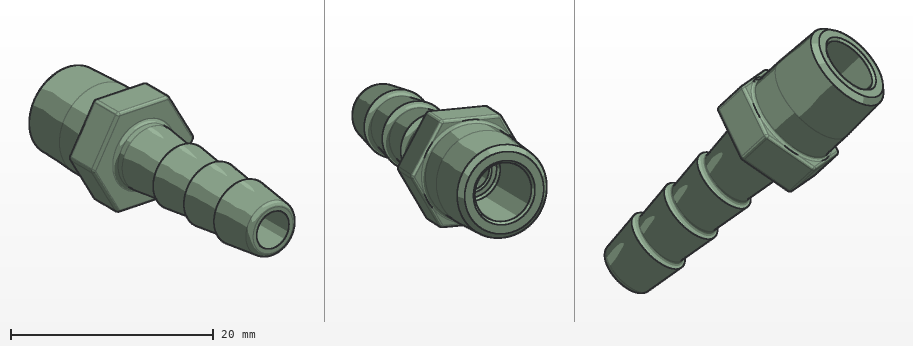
import cadquery as cq
import math

total_length = 34.0
hex_start = 9.0
hex_end = 13.0
hex_across_flats = 11.0
edge_round = 0.3
corner_round = 0.4

thread_tip_radius = 4.75
thread_root_radius = 4.95
thread_chamfer = 0.58
taper_end = 5.75

barb_radius = 3.5
barb_root_radius = 3.0
barb_pitch = 5.0
barb_count = 3
neck_round = 0.37
neck_cylinder_end = 14.05
groove_round = barb_radius - barb_root_radius
groove_land = 0.1
tail_end_round = 0.5

counterbore_radius = 3.0
counterbore_depth = hex_start
counterbore_floor_chamfer = 0.27
mouth_chamfer = 0.27
bore_radius = 2.0
bore_chamfer = 0.2

diagonal = math.sqrt(0.5)


def threaded_end():
    """Chamfered taper and cylinder that flares into the hexagon with a concave round."""
    flare_start = hex_start - edge_round
    flare_radius = thread_root_radius + edge_round
    flare_middle = (
        flare_start + edge_round * diagonal,
        flare_radius - edge_round * diagonal,
    )
    profile = (
        cq.Workplane("XY")
        .lineTo(0, thread_tip_radius - thread_chamfer)
        .lineTo(thread_chamfer, thread_tip_radius)
        .lineTo(taper_end, thread_root_radius)
        .lineTo(flare_start, thread_root_radius)
        .threePointArc(flare_middle, (hex_start, flare_radius))
        .lineTo(hex_start + edge_round, flare_radius)
        .lineTo(hex_start + edge_round, 0)
        .close()
    )
    return profile.revolve(360, (0, 0, 0), (1, 0, 0))


def hexagon():
    """Hexagon with flats facing +Z and -Z, rounded corners and rounded end edges."""
    across_corners = hex_across_flats / math.cos(math.pi / 6)
    block = cq.Workplane("YZ").workplane(offset=hex_start).polygon(6, across_corners)
    prism = block.extrude(hex_end - hex_start)
    rounded_corners = prism.edges("|X").fillet(corner_round)
    return rounded_corners.edges("<X or >X").fillet(edge_round)


def hose_tail():
    """Round neck followed by a row of cones, each ending in a concave step up to the next barb.

    Every step but the last has a short cylindrical land at its root, which moves its barb tip along.
    """
    neck_start_radius = barb_radius + neck_round
    neck_middle = (
        hex_end + neck_round * (1 - diagonal),
        neck_start_radius - neck_round * diagonal,
    )
    profile = (
        cq.Workplane("XY")
        .moveTo(hex_end - edge_round, 0)
        .lineTo(hex_end - edge_round, neck_start_radius)
        .lineTo(hex_end, neck_start_radius)
        .threePointArc(neck_middle, (hex_end + neck_round, barb_radius))
        .lineTo(neck_cylinder_end, barb_radius)
    )
    for barbs_left in range(barb_count, 0, -1):
        land = groove_land if barbs_left > 1 else 0
        groove_start = total_length - barbs_left * barb_pitch - groove_round
        step_start = groove_start + land
        groove_middle = (
            step_start + groove_round * diagonal,
            barb_root_radius + groove_round * (1 - diagonal),
        )
        profile = profile.lineTo(groove_start, barb_root_radius)
        if land:
            profile = profile.lineTo(step_start, barb_root_radius)
        profile = profile.threePointArc(groove_middle, (step_start + groove_round, barb_radius))
    round_start = total_length - tail_end_round
    round_middle = (
        round_start + tail_end_round * diagonal,
        barb_root_radius - tail_end_round * (1 - diagonal),
    )
    profile = (
        profile.lineTo(round_start, barb_root_radius)
        .threePointArc(round_middle, (total_length, barb_root_radius - tail_end_round))
        .lineTo(total_length, 0)
        .close()
    )
    return profile.revolve(360, (0, 0, 0), (1, 0, 0))


def stepped_bore():
    """Counterbore with a chamfered mouth and a sloped rim around its floor, then a chamfered through bore."""
    profile = (
        cq.Workplane("XY")
        .lineTo(0, counterbore_radius + mouth_chamfer)
        .lineTo(mouth_chamfer, counterbore_radius)
        .lineTo(counterbore_depth - counterbore_floor_chamfer, counterbore_radius)
        .lineTo(counterbore_depth, counterbore_radius - counterbore_floor_chamfer)
        .lineTo(counterbore_depth, bore_radius + bore_chamfer)
        .lineTo(counterbore_depth + bore_chamfer, bore_radius)
        .lineTo(total_length, bore_radius)
        .lineTo(total_length, 0)
        .close()
    )
    return profile.revolve(360, (0, 0, 0), (1, 0, 0))


result = threaded_end().union(hexagon()).union(hose_tail()).cut(stepped_bore())